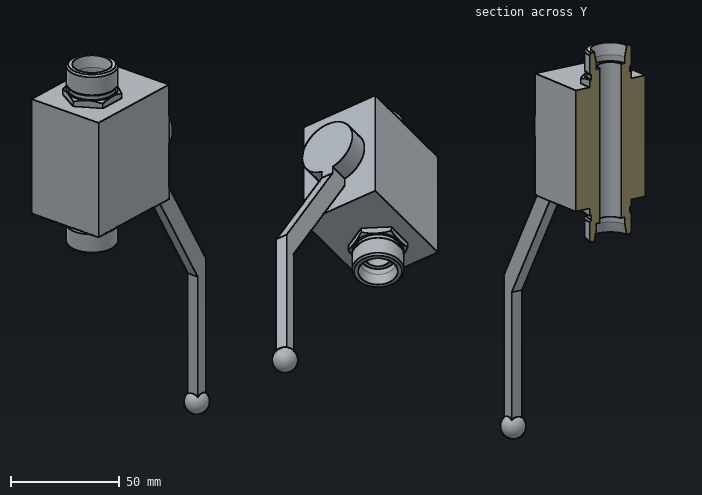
import cadquery as cq
import math

BODY_WIDTH = 40.0
BODY_HEIGHT = 59.0
BODY_DEPTH = 52.0
AXIS_TO_FRONT = 20.0
BODY_BACK = BODY_DEPTH - AXIS_TO_FRONT

FITTING_LENGTH = 16.5
HEX_SIDES = 6
HEX_ACROSS_FLATS = 24.0
HEX_HEIGHT = 3.5
HEX_CHAMFER_ANGLE = 30.0
TURNING_CLEARANCE = 1.0
THREAD_DIAMETER = 24.0
ROOT_DIAMETER = 22.16
GROOVE_LENGTH = 2.0
THREAD_CHAMFER = (THREAD_DIAMETER - ROOT_DIAMETER) / 2

BORE_DIAMETER = 12.0
SOCKET_DIAMETER = 16.0
SOCKET_DEPTH = 8.5
CONE_MOUTH_DIAMETER = 18.3
CONE_HALF_ANGLE = 12.0

BOSS_DIAMETER = 28.0
BOSS_LENGTH = 10.0
BOSS_BACK = BODY_BACK + BOSS_LENGTH

LEVER_WIDTH = 6.0
LEVER_GRIP_THICKNESS = 6.0
LEVER_ANGLE = 30.0
LEVER_BACK_BEND_Z = -17.5
LEVER_FRONT_BEND_Z = -18.0
KNOB_DIAMETER = 12.0
KNOB_Y = 77.0
KNOB_Z = -157.0


def make_body():
    return cq.Workplane("XY").box(BODY_WIDTH, BODY_DEPTH, BODY_HEIGHT).translate(
        (0, BODY_DEPTH / 2 - AXIS_TO_FRONT, 0)
    )


def make_boss():
    boss = cq.Workplane("XZ").circle(BOSS_DIAMETER / 2).extrude(-BOSS_LENGTH)
    return boss.translate((0, BODY_BACK, 0))


def make_hex(base_z):
    """Hexagon with corners on the Y axis, its outer corners turned off by a cone tangent to the flats."""
    flat_radius = HEX_ACROSS_FLATS / 2
    corner_radius = flat_radius / math.cos(math.pi / HEX_SIDES)
    prism = (
        cq.Workplane("XY", origin=(0, 0, base_z))
        .polygon(HEX_SIDES, 2 * corner_radius)
        .extrude(HEX_HEIGHT)
        .rotate((0, 0, 0), (0, 0, 1), 90)
    )
    turned_radius = corner_radius + TURNING_CLEARANCE
    top_z = base_z + HEX_HEIGHT
    drop = (turned_radius - flat_radius) * math.tan(math.radians(HEX_CHAMFER_ANGLE))
    turned = (
        cq.Workplane("XZ")
        .moveTo(0, base_z)
        .lineTo(turned_radius, base_z)
        .lineTo(turned_radius, top_z - drop)
        .lineTo(flat_radius, top_z)
        .lineTo(0, top_z)
        .close()
        .revolve(360, (0, 0), (0, 1))
    )
    return prism.intersect(turned)


def make_upper_fitting():
    base_z = BODY_HEIGHT / 2
    groove_z = base_z + HEX_HEIGHT
    thread_z = groove_z + GROOVE_LENGTH
    top_z = base_z + FITTING_LENGTH
    root_radius = ROOT_DIAMETER / 2
    thread_radius = THREAD_DIAMETER / 2
    stub = (
        cq.Workplane("XZ")
        .moveTo(0, base_z)
        .lineTo(root_radius, base_z)
        .lineTo(root_radius, thread_z)
        .lineTo(thread_radius, thread_z + THREAD_CHAMFER)
        .lineTo(thread_radius, top_z - THREAD_CHAMFER)
        .lineTo(root_radius, top_z)
        .lineTo(0, top_z)
        .close()
        .revolve(360, (0, 0), (0, 1))
    )
    return make_hex(base_z).union(stub)


def make_upper_passage():
    """Half of the flow passage, from the body centre out through the upper fitting."""
    top_z = BODY_HEIGHT / 2 + FITTING_LENGTH
    socket_z = top_z - SOCKET_DEPTH
    socket_radius = SOCKET_DIAMETER / 2
    mouth_radius = CONE_MOUTH_DIAMETER / 2
    cone_depth = (mouth_radius - socket_radius) / math.tan(math.radians(CONE_HALF_ANGLE))
    return (
        cq.Workplane("XZ")
        .lineTo(BORE_DIAMETER / 2, 0)
        .lineTo(BORE_DIAMETER / 2, socket_z)
        .lineTo(socket_radius, socket_z)
        .lineTo(socket_radius, top_z - cone_depth)
        .lineTo(mouth_radius, top_z)
        .lineTo(0, top_z)
        .close()
        .revolve(360, (0, 0), (0, 1))
    )


def make_lever():
    """Bar that leaves the boss, slopes away from the body and ends in an upright grip."""
    grip_back = KNOB_Y + LEVER_GRIP_THICKNESS / 2
    grip_front = KNOB_Y - LEVER_GRIP_THICKNESS / 2
    slope = math.tan(math.radians(LEVER_ANGLE))
    back_knee_z = LEVER_BACK_BEND_Z - (grip_back - BOSS_BACK) / slope
    front_knee_z = LEVER_FRONT_BEND_Z - (grip_front - BODY_BACK) / slope
    return (
        cq.Workplane("YZ")
        .moveTo(BODY_BACK, 0)
        .lineTo(BOSS_BACK, 0)
        .lineTo(BOSS_BACK, LEVER_BACK_BEND_Z)
        .lineTo(grip_back, back_knee_z)
        .lineTo(grip_back, KNOB_Z)
        .lineTo(grip_front, KNOB_Z)
        .lineTo(grip_front, front_knee_z)
        .lineTo(BODY_BACK, LEVER_FRONT_BEND_Z)
        .close()
        .extrude(LEVER_WIDTH / 2, both=True)
    )


def make_knob():
    return cq.Workplane("XY").sphere(KNOB_DIAMETER / 2).translate((0, KNOB_Y, KNOB_Z))


def with_mirror_below(upper):
    return upper.union(upper.mirror("XY"))


result = (
    make_body()
    .union(make_boss())
    .union(with_mirror_below(make_upper_fitting()))
    .union(make_lever())
    .union(make_knob())
    .cut(with_mirror_below(make_upper_passage()))
)